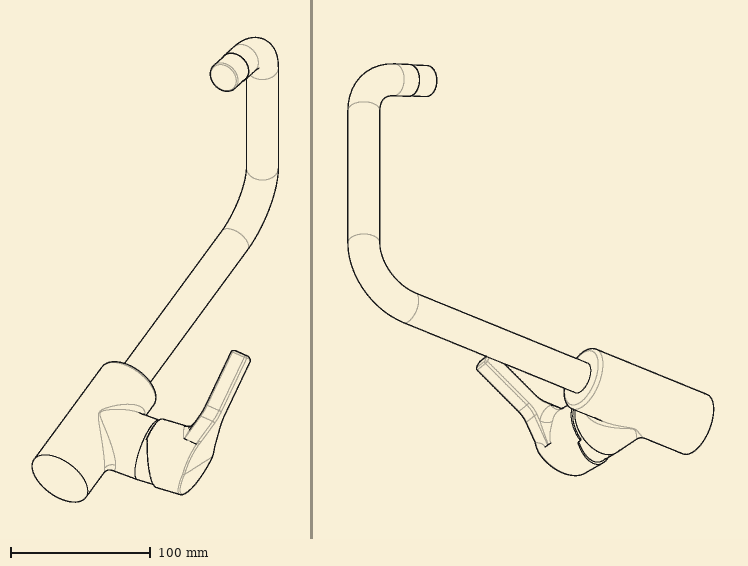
import cadquery as cq
import math


housing_radius = 23.0
housing_length = 100
housing_rim_fillet = 2.5
branch_radius = 22.7
branch_y = 51.0
branch_length = 42.0
branch_tilt = 4.5
branch_fillet = 6

total_length = 303
tube_radius = 11.5
bend_radius = 40.0
upper_bend_z = 154.8
upper_bend_angle = 70
tube_tail = 14.5
aerator_radius = 11.2
aerator_length = 17.0
aerator_rim_fillet = 1.0

cap_radius = 24.2
cap_tilt = 9
cap_gap = 2.0
cap_blank_length = 84.8
cap_rim_fillet = 1.2
bevel_angle = 25
bevel_start_x = 45.8
end_slope = 7.5
end_slope_direction = 60
collar_radius = 22.7
collar_length = 18.2

lever_angle = 30.5
lever_width = 12.7
lever_thickness = 13.3
lever_reach = 86.5
lever_tip_bulge = 1.2
lever_edge_fillet = 1.5
lever_root_fillet = 18.2
lever_inner_fillet = 7.0
root_tangent_angle = 60

handle_outer_x = 80.0
lever_inner_x = handle_outer_x - lever_width
clearance = 121.2
margin = 0.3


def leaning_plane(origin, tilt):
    """Plane whose normal leans from +X toward +Y by tilt degrees."""
    angle = math.radians(tilt)
    return cq.Plane(origin=origin, xDir=(0, 0, 1), normal=(math.cos(angle), math.sin(angle), 0))


branch_base = leaning_plane((0, branch_y, 0), branch_tilt)
branch_end = branch_base.toWorldCoords((0, 0, branch_length))
cap_base = leaning_plane(branch_end, cap_tilt)

hub_x = handle_outer_x - lever_width / 2
hub_y = branch_end.y + (hub_x - branch_end.x) * math.tan(math.radians(cap_tilt))


def turn_about_hub(shape, angle):
    """Turn a shape about the hub line, lifting its +Y side by angle degrees."""
    return shape.rotate((0, hub_y, 0), (1, hub_y, 0), angle)


def make_housing():
    barrel = cq.Workplane("XZ").circle(housing_radius).extrude(-housing_length)
    branch = cq.Workplane(branch_base).circle(branch_radius).extrude(branch_length)
    housing = barrel.union(branch)
    joint = cq.selectors.BoxSelector(
        (-margin, 0, -housing_radius - margin),
        (housing_radius + margin, housing_length, housing_radius + margin),
        boundingbox=True,
    )
    housing = housing.edges(joint).edges("not %CIRCLE").edges("not %LINE").fillet(branch_fillet)
    return housing.faces(">Y").edges().fillet(housing_rim_fillet)


riser_y = total_length - tube_radius
lower_bend_y = riser_y - bend_radius
bend_turn = math.radians(upper_bend_angle)
tail_direction = (-math.sin(bend_turn), math.cos(bend_turn))


def upper_bend_point(turn):
    """Point (Y, Z) on the axis of the upper bend after turning by an angle in radians."""
    return (lower_bend_y + bend_radius * math.cos(turn), upper_bend_z + bend_radius * math.sin(turn))


def along_tail(distance):
    """Point (Y, Z) on the straight tail, measured from the end of the upper bend."""
    y, z = upper_bend_point(bend_turn)
    return (y + distance * tail_direction[0], z + distance * tail_direction[1])


def make_spout():
    diagonal = bend_radius * math.sqrt(0.5)
    path = (
        cq.Workplane("YZ")
        .moveTo(housing_length, 0)
        .lineTo(lower_bend_y, 0)
        .threePointArc((lower_bend_y + diagonal, bend_radius - diagonal), (riser_y, bend_radius))
        .lineTo(riser_y, upper_bend_z)
        .threePointArc(upper_bend_point(bend_turn / 2), upper_bend_point(bend_turn))
        .lineTo(*along_tail(tube_tail))
    )
    section = cq.Workplane("XZ", origin=(0, housing_length, 0)).circle(tube_radius)
    return section.sweep(path)


def make_aerator():
    start_y, start_z = along_tail(tube_tail)
    seat = cq.Plane(origin=(0, start_y, start_z), xDir=(1, 0, 0), normal=(0, *tail_direction))
    aerator = cq.Workplane(seat).circle(aerator_radius).extrude(aerator_length)
    return aerator.faces("<Y").edges().fillet(aerator_rim_fillet)


def make_collar_blank():
    """Collar cylinder, run back past the branch face so that it can be trimmed there."""
    rod = cq.Workplane(cap_base).workplane(offset=-collar_length).circle(collar_radius)
    return rod.extrude(2 * collar_length)


def behind_branch_face(offset):
    """Everything on the housing side of a plane parallel to the branch end face."""
    plane = cq.Workplane(branch_base).workplane(offset=branch_length + offset)
    return plane.rect(clearance, clearance).extrude(-clearance / 2)


def make_collar():
    return make_collar_blank().cut(behind_branch_face(0))


def make_lever():
    """Lever bar with flanks that leave the cap on tangents and curve into the bar."""
    tangent = math.radians(root_tangent_angle)
    half = lever_thickness / 2
    root_u = cap_radius * math.cos(tangent)
    root_v = cap_radius * math.sin(tangent)
    corner_u = root_u + (root_v - half) * math.tan(tangent)
    lever = (
        cq.Workplane("YZ", origin=(lever_inner_x, hub_y, 0))
        .moveTo(0, 0)
        .lineTo(root_u, root_v)
        .lineTo(corner_u, half)
        .lineTo(lever_reach - lever_tip_bulge, half)
        .threePointArc((lever_reach, 0), (lever_reach - lever_tip_bulge, -half))
        .lineTo(corner_u, -half)
        .lineTo(root_u, -root_v)
        .close()
        .extrude(lever_width)
    )
    corners = cq.selectors.BoxSelector(
        (0, hub_y + corner_u - margin, -cap_radius), (clearance, hub_y + corner_u + margin, cap_radius)
    )
    lever = lever.edges("|X").edges(corners).fillet(lever_root_fillet)
    bar = cq.selectors.BoxSelector(
        (0, hub_y + corner_u, -cap_radius), (clearance, hub_y + clearance, cap_radius)
    )
    lever = lever.edges(bar).fillet(lever_edge_fillet)
    return turn_about_hub(lever, lever_angle)


def make_rear_bevel():
    """Wedge that clears the rear of the cap on the side opposite the lever."""
    rise = clearance / 2 * math.tan(math.radians(bevel_angle))
    wedge = (
        cq.Workplane("XY", origin=(bevel_start_x, hub_y, 0))
        .polyline([(0, 0), (rise, -clearance / 2), (-rise, -clearance / 2), (-rise, 0)])
        .close()
        .extrude(clearance / 2, both=True)
    )
    return turn_about_hub(wedge, lever_angle)


def make_end_cutter():
    """Everything beyond the outer face, which slopes back on the side opposite the lever."""
    drop = clearance / 2 * math.tan(math.radians(end_slope))
    half = clearance / 2
    block = (
        cq.Workplane("XY", origin=(handle_outer_x, hub_y, 0))
        .polyline([(0, 0), (0, half), (half, half), (half, -half), (-drop, -half)])
        .close()
        .extrude(half, both=True)
    )
    return turn_about_hub(block, end_slope_direction)


def make_handle():
    rod_start = cq.Workplane(cap_base).workplane(offset=-cap_radius)
    rod = rod_start.circle(cap_radius).extrude(cap_blank_length)
    cap = rod.cut(make_end_cutter())
    rim_start_x = handle_outer_x - cap_radius * math.tan(math.radians(end_slope)) - margin
    rim = cq.selectors.BoxSelector(
        (rim_start_x, 0, -clearance), (clearance, clearance, clearance), boundingbox=True
    )
    cap = cap.edges(rim).edges("not %LINE").fillet(cap_rim_fillet)
    cap = cap.cut(behind_branch_face(cap_gap)).cut(make_rear_bevel())
    handle = cap.union(make_lever())
    inner_corner = cq.selectors.BoxSelector(
        (lever_inner_x - margin, hub_y, -cap_radius),
        (lever_inner_x + margin, hub_y + cap_radius, cap_radius),
        boundingbox=True,
    )
    handle = handle.edges(inner_corner).edges("not %LINE").fillet(lever_inner_fillet)
    return handle.cut(make_collar_blank())


housing = make_housing()
spout = make_spout()
aerator = make_aerator()
collar = make_collar()
handle = make_handle()

result = cq.Compound.makeCompound(
    [body.solids().val() for body in (housing, spout, aerator, collar, handle)]
)